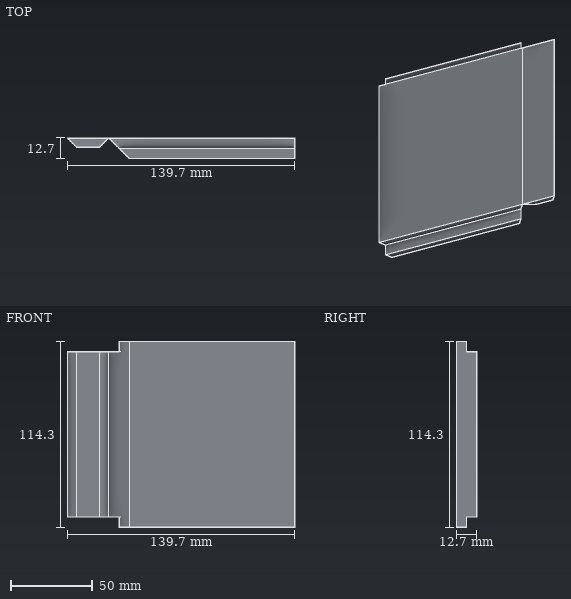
import cadquery as cq

total_length = 139.7
panel_thickness = 12.7
panel_height = 114.3
lip = 6.35
strip_width = 25.4
strip_thickness = 5.7

back_height = panel_height - 2 * lip
back_thickness = panel_thickness - lip
hinge_x = strip_width


def vertical_prism(outline, height):
    """Extrude an XY outline along Z, centred on z = 0."""
    return cq.Workplane("XY").polyline(outline).close().extrude(height / 2, both=True)


def make_strip():
    """Narrow trapezoidal strip, bevelled along both long edges."""
    return vertical_prism(
        [
            (0, 0),
            (strip_width, 0),
            (strip_width - strip_thickness, -strip_thickness),
            (strip_thickness, -strip_thickness),
        ],
        back_height,
    )


def panel_layer(near_depth, far_depth, height):
    """Slice of the panel between two depths, with the 45 degree bevel on its hinge side."""
    return vertical_prism(
        [
            (hinge_x + near_depth, -near_depth),
            (total_length, -near_depth),
            (total_length, -far_depth),
            (hinge_x + far_depth, -far_depth),
        ],
        height,
    )


def make_panel():
    """Rebated panel: a shorter back layer behind a full-height face."""
    back = panel_layer(0, back_thickness, back_height)
    face = panel_layer(back_thickness, panel_thickness, panel_height)
    return back.union(face)


strip = make_strip()
panel = make_panel()

result = cq.Compound.makeCompound([strip.val(), panel.val()])